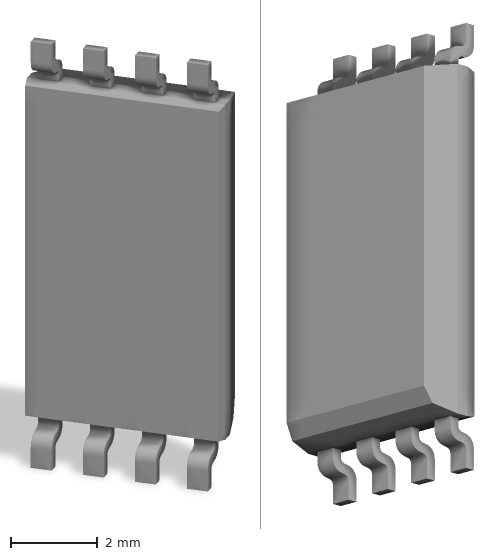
import cadquery as cq
import math


overall_length = 10.64
body_width = 4.83
body_length = 8.36
band_thickness = 0.32
back_depth = 0.9
front_depth = 0.3
draft_angle = 12.0

bevel_depth = 0.23
bevel_height = 0.33

leads_per_end = 4
lead_pitch = 1.27
lead_width = 0.51
lead_thickness = 0.26
lead_offset = 0.51
foot_length = 0.66
bend_outer_radius = 0.3
bend_inner_radius = 0.13
bend_angle = 80.0
lead_embed = 0.21

band_front = -band_thickness / 2
band_back = band_thickness / 2
body_back = band_back + back_depth
body_bottom = -body_length / 2
lead_tip = overall_length / 2
foot_bend_z = lead_tip - foot_length


def body_slab(start_y, depth, taper=0):
    """Rectangular slab grown along Y from start_y; the sign of depth sets the direction."""
    direction = math.copysign(1, depth)
    plane = cq.Plane(origin=(0, start_y, 0), xDir=(1, 0, 0), normal=(0, direction, 0))
    return cq.Workplane(plane).rect(body_width, body_length).extrude(abs(depth), taper=taper)


def make_body():
    """Belt with a drafted half on each side and a bevel on the lower back edge."""
    belt = body_slab(band_front, band_thickness)
    back = body_slab(band_back, back_depth, draft_angle)
    front = body_slab(band_front, -front_depth, draft_angle)
    return belt.union(back).union(front).cut(make_bevel())


def make_bevel():
    """Wedge that removes the lower back edge over the full width."""
    draft_slope = math.tan(math.radians(draft_angle))
    back_edge_z = body_bottom + back_depth * draft_slope
    bevel_start = (body_back, back_edge_z + bevel_height)
    bevel_end = (body_back - bevel_depth, back_edge_z - bevel_depth * draft_slope)
    outer_corner = (body_back, bevel_end[1])
    wedge = cq.Workplane("YZ").polyline([bevel_start, bevel_end, outer_corner]).close()
    return wedge.extrude(body_width / 2, both=True)


def make_lead():
    """Gull-wing lead at the upper end, centred on X = 0, with its four bends rounded."""
    half_thickness = lead_thickness / 2
    shank_start = body_length / 2 - lead_embed
    slope_rise = lead_offset / math.tan(math.radians(bend_angle))
    miter = half_thickness * math.tan(math.radians(bend_angle / 2))
    shank_bend_z = foot_bend_z - slope_rise

    outline = [
        (half_thickness, shank_start),
        (half_thickness, shank_bend_z + miter),
        (half_thickness - lead_offset, foot_bend_z + miter),
        (half_thickness - lead_offset, lead_tip),
        (-half_thickness - lead_offset, lead_tip),
        (-half_thickness - lead_offset, foot_bend_z - miter),
        (-half_thickness, shank_bend_z - miter),
        (-half_thickness, shank_start),
    ]
    shank_back, foot_back, foot_front, shank_front = outline[1], outline[2], outline[5], outline[6]
    lead = cq.Workplane("YZ").polyline(outline).close().extrude(lead_width / 2, both=True)
    lead = round_bends(lead, [shank_back, foot_front], bend_outer_radius)
    return round_bends(lead, [foot_back, shank_front], bend_inner_radius)


def round_bends(lead, corners, radius):
    """Fillet the edges along X that pass through the given (y, z) corners."""
    for y, z in corners:
        edge = cq.selectors.NearestToPointSelector((0, y, z))
        lead = lead.edges("|X").edges(edge).fillet(radius)
    return lead


result = make_body()
upper_lead = make_lead()
lower_lead = upper_lead.mirror("XY")
for index in range(leads_per_end):
    lead_x = (index - (leads_per_end - 1) / 2) * lead_pitch
    result = result.union(upper_lead.translate((lead_x, 0, 0)))
    result = result.union(lower_lead.translate((lead_x, 0, 0)))